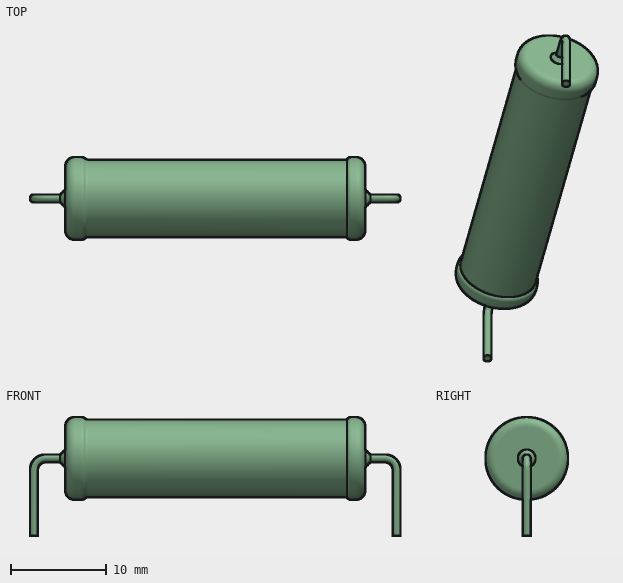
import cadquery as cq
import math

overall_length = 38.95
axis_height = 8.15

end_radius = 4.35
barrel_radius = 4.1
end_face_x = 15.77
rim_fillet = 1.0
shoulder_radius = 0.55
left_land = 0.7
right_land = 0.45

lead_radius = 0.43
bend_radius = 1.2
collar_radius = 0.95
collar_length = 0.5

lead_x = overall_length / 2 - lead_radius
rim_start_x = end_face_x - rim_fillet
shoulder_drop = end_radius - barrel_radius


def arc_run(drop):
    """Axial run of a shoulder arc that starts parallel to the axis and falls by drop."""
    return math.sqrt(shoulder_radius**2 - (shoulder_radius - drop)**2)


def make_body():
    """Barrel with two thicker ends; the left shoulder is blended, the right one meets a sharp corner."""
    arc_middle = rim_fillet * math.sqrt(0.5)
    rim_middle_x = rim_start_x + arc_middle
    rim_middle_radius = end_radius - rim_fillet + arc_middle
    face_radius = end_radius - rim_fillet

    left_shoulder_x = -rim_start_x + left_land
    blend_middle_x = left_shoulder_x + arc_run(shoulder_drop / 2)
    blend_end_x = left_shoulder_x + 2 * arc_run(shoulder_drop / 2)

    right_shoulder_x = rim_start_x - right_land
    barrel_end_x = right_shoulder_x - arc_run(shoulder_drop)

    profile = (
        cq.Workplane("XY")
        .moveTo(-end_face_x, 0)
        .lineTo(-end_face_x, face_radius)
        .threePointArc((-rim_middle_x, rim_middle_radius), (-rim_start_x, end_radius))
        .lineTo(left_shoulder_x, end_radius)
        .tangentArcPoint((blend_middle_x, end_radius - shoulder_drop / 2), relative=False)
        .tangentArcPoint((blend_end_x, barrel_radius), relative=False)
        .lineTo(barrel_end_x, barrel_radius)
        .radiusArc((right_shoulder_x, end_radius), shoulder_radius)
        .lineTo(rim_start_x, end_radius)
        .threePointArc((rim_middle_x, rim_middle_radius), (end_face_x, face_radius))
        .lineTo(end_face_x, 0)
        .close()
    )
    return profile.revolve(360, (0, 0, 0), (1, 0, 0))


def make_lead(side):
    """Round wire from an end face outward, bent down; side is -1 for left, +1 for right."""
    bend_start_x = lead_x - bend_radius
    bend_middle = bend_radius * math.sqrt(0.5)
    path = (
        cq.Workplane("XZ")
        .moveTo(side * end_face_x, 0)
        .lineTo(side * bend_start_x, 0)
        .threePointArc(
            (side * (bend_start_x + bend_middle), bend_middle - bend_radius),
            (side * lead_x, -bend_radius),
        )
        .lineTo(side * lead_x, -axis_height)
    )
    return cq.Workplane("YZ", origin=(side * end_face_x, 0, 0)).circle(lead_radius).sweep(path)


def make_collar(side):
    """Conical ring around a lead, seated on an end face of the body."""
    profile = (
        cq.Workplane("XY")
        .moveTo(side * end_face_x, lead_radius)
        .lineTo(side * end_face_x, collar_radius)
        .lineTo(side * (end_face_x + collar_length), lead_radius)
        .close()
    )
    return profile.revolve(360, (0, 0, 0), (1, 0, 0))


body = make_body()
leads = []
collars = []
for side in (-1, 1):
    leads.append(make_lead(side).val())
    collars.append(make_collar(side).val())

result = cq.Compound.makeCompound([body.val(), *leads, *collars])